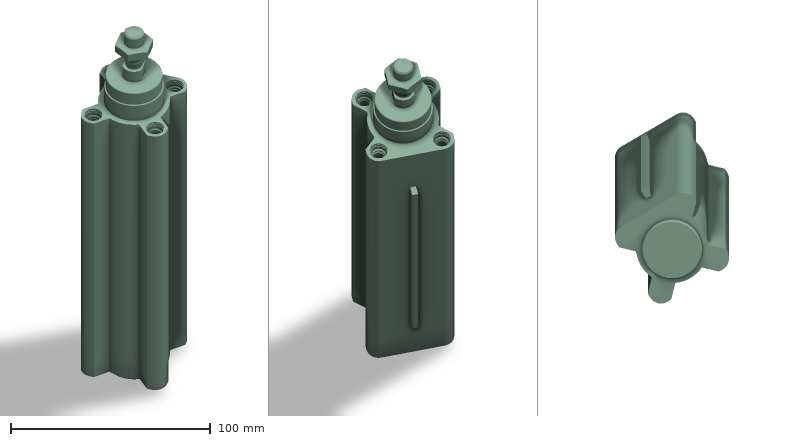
import cadquery as cq
import math

barrel_length = 174.0
barrel_half_width = 22.5
barrel_radius = 18.0
lobe_flat_end = 14.0
web_half_width = 16.6

hole_pitch = 32.5
hole_offset = hole_pitch / 2
lobe_radius = barrel_half_width - hole_offset
core_diameter = 4.92
core_depth = 16.0
hole_steps = [
    (9.0, 1.0),
    (8.65, 2.0),
    (8.2, 4.0),
    (6.0, 5.0),
    (core_diameter, core_depth),
]
drill_point_angle = 120.0

collar_diameter = 30.0
rear_collar_length = 4.0
rear_collar_chamfer = 0.5
front_collar_length = 10.3
nose_diameter = 28.6
nose_end = 18.0
nose_fillet = 0.5
collar_fillet = 0.4

rail_width = 3.0
rail_height = 5.0
rail_foot_width = 2.7
rail_foot_height = 1.3
rail_end_distance = 28.0
rail_length = barrel_length - 2 * rail_end_distance

rod_diameter = 12.0
rod_flats_width = 10.0
rod_shoulder = 25.1
flats_start_gap = 0.5
thread_length = 22.0
stud_diameter = 10.0
stud_chamfer = 0.8
neck_diameter = 8.57
neck_length = 1.2
neck_cone_length = 2.6

nut_width = 17.0
nut_thickness = 5.0
nut_face_diameter = 16.5
nut_chamfer_angle = 12.0
nut_height = 35.1

nose_z = barrel_length + nose_end
shoulder_z = barrel_length + rod_shoulder
stud_top_z = shoulder_z + thread_length


def cylinder(diameter, start_z, length):
    return cq.Workplane("XY").workplane(offset=start_z).circle(diameter / 2).extrude(length)


def make_lobe(x_side, y_side):
    """Rounded corner lobe joined to the axis by a 45 degree web."""
    lean = barrel_half_width - lobe_flat_end
    arc_middle = hole_offset + lobe_radius / math.sqrt(2)

    def corner(x, y):
        return (x_side * x, y_side * y)

    return (
        cq.Workplane("XY")
        .moveTo(*corner(lean, 0))
        .lineTo(*corner(barrel_half_width, lobe_flat_end))
        .lineTo(*corner(barrel_half_width, hole_offset))
        .threePointArc(corner(arc_middle, arc_middle), corner(hole_offset, barrel_half_width))
        .lineTo(*corner(lobe_flat_end, barrel_half_width))
        .lineTo(*corner(0, lean))
        .lineTo(0, 0)
        .close()
        .extrude(barrel_length)
    )


def make_corner_hole(x, y):
    """Stepped hole with a drill point, sunk from the barrel's front face."""
    profile = [(0, 0)]
    start_depth = 0
    for diameter, depth in hole_steps:
        profile.append((diameter / 2, -start_depth))
        profile.append((diameter / 2, -depth))
        start_depth = depth

    core_radius = core_diameter / 2
    point_depth = core_radius / math.tan(math.radians(drill_point_angle / 2))
    profile.append((0, -core_depth - point_depth))
    return (
        cq.Workplane("XZ")
        .polyline(profile)
        .close()
        .revolve(360, (0, 0, 0), (0, 1, 0))
        .translate((x, y, barrel_length))
    )


def make_housing():
    housing = cylinder(2 * barrel_radius, 0, barrel_length)
    for x_side in (-1, 1):
        for y_side in (-1, 1):
            housing = housing.union(make_lobe(x_side, y_side))

    flat_side = (
        cq.Workplane("XY")
        .rect(2 * hole_offset, barrel_half_width)
        .extrude(barrel_length)
        .translate((0, barrel_half_width / 2, 0))
    )
    housing = housing.union(flat_side)

    root_span = 2 * (web_half_width - barrel_half_width + lobe_flat_end)
    roots = cq.Workplane("XY").rect(2 * web_half_width, root_span).extrude(barrel_length)
    housing = housing.union(roots)

    rail_steps = [
        (rail_foot_width, 0, rail_foot_height),
        (rail_width, rail_foot_height, rail_height),
    ]
    for width, start, end in rail_steps:
        rail = (
            cq.Workplane("XY")
            .workplane(offset=rail_end_distance)
            .rect(width, end - start)
            .extrude(rail_length)
            .translate((0, barrel_half_width + (start + end) / 2, 0))
        )
        housing = housing.union(rail)

    rear_collar = cylinder(collar_diameter, -rear_collar_length, rear_collar_length)
    housing = housing.union(rear_collar.faces("<Z").chamfer(rear_collar_chamfer))
    front_collar = cylinder(collar_diameter, barrel_length, front_collar_length)
    housing = housing.union(front_collar.faces(">Z").edges().fillet(collar_fillet))
    nose = cylinder(nose_diameter, barrel_length, nose_end)
    housing = housing.union(nose.faces(">Z").edges().fillet(nose_fillet))

    for x in (-hole_offset, hole_offset):
        for y in (-hole_offset, hole_offset):
            housing = housing.cut(make_corner_hole(x, y))
    return housing


def make_rod():
    rod = cylinder(rod_diameter, nose_z, shoulder_z - nose_z)
    flats_z = nose_z + flats_start_gap
    flats_length = shoulder_z - flats_z
    flatted = (
        cq.Workplane("XY")
        .workplane(offset=flats_z)
        .rect(rod_flats_width, rod_diameter)
        .extrude(flats_length)
    )
    waste = cylinder(2 * rod_diameter, flats_z, flats_length).cut(flatted)
    rod = rod.cut(waste)

    stud_radius = stud_diameter / 2
    neck_radius = neck_diameter / 2
    neck_top_z = shoulder_z + neck_length
    stud = (
        cq.Workplane("XZ")
        .polyline([
            (0, shoulder_z),
            (neck_radius, shoulder_z),
            (neck_radius, neck_top_z),
            (stud_radius, neck_top_z + neck_cone_length),
            (stud_radius, stud_top_z - stud_chamfer),
            (stud_radius - stud_chamfer, stud_top_z),
            (0, stud_top_z),
        ])
        .close()
        .revolve(360, (0, 0, 0), (0, 1, 0))
    )
    return rod.union(stud)


def make_nut():
    """Hexagon nut with its corners turned down to a cone at both ends."""
    corner_radius = nut_width / 2 / math.cos(math.pi / 6)
    face_radius = nut_face_diameter / 2
    corner_drop = (corner_radius - face_radius) * math.tan(math.radians(nut_chamfer_angle))
    turned_blank = (
        cq.Workplane("XZ")
        .polyline([
            (0, 0),
            (face_radius, 0),
            (corner_radius, corner_drop),
            (corner_radius, nut_thickness - corner_drop),
            (face_radius, nut_thickness),
            (0, nut_thickness),
        ])
        .close()
        .revolve(360, (0, 0, 0), (0, 1, 0))
    )
    return (
        cq.Workplane("XY")
        .polygon(6, 2 * corner_radius)
        .extrude(nut_thickness)
        .rotate((0, 0, 0), (0, 0, 1), 30)
        .intersect(turned_blank)
        .cut(cylinder(stud_diameter, 0, nut_thickness))
        .translate((0, 0, barrel_length + nut_height))
    )


housing = make_housing()
rod = make_rod()
nut = make_nut()
result = cq.Compound.makeCompound([housing.val(), rod.val(), nut.val()])